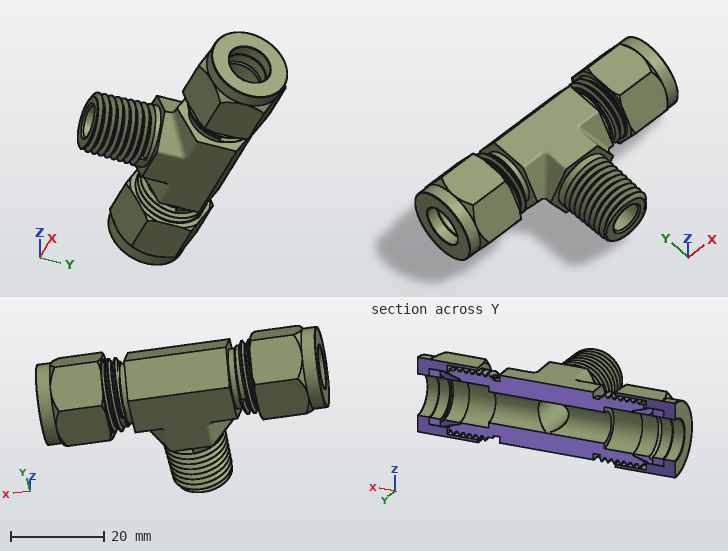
import cadquery as cq
import math


INCH = 25.4

run_half_length = 30.48
branch_length = 25.38
flow_bore_radius = 9 / 32 * INCH / 2
tube_bore_radius = 4.78

block_hex_flats = 5 / 8 * INCH
block_half_length = 7 / 16 * INCH
block_branch_reach = 11.2
crotch_fillet = 1.2
ledge_fillet = 0.8

thread_pitch = 1.5
flank_tan = math.tan(math.radians(30))
STRAIGHT = 360

neck_radius = 6.53
run_root_radius = 7.07
run_crest_radius = 5 / 8 * INCH / 2
run_thread_start = block_half_length + 1.4
run_core_chamfer = 0.3
run_crest_flat = 0.16
run_ridge_start = block_half_length + 1.92
run_ridge_end_margin = 1.0
root_overlap = 0.15

collar_radius = 0.54 * INCH / 2
collar_length = 1.9
taper_tan = 1 / 32
branch_groove_depth = 1.07
branch_crest_flat = 0.06
branch_groove_first = 1.93
branch_groove_runout = 0.25
groove_wall_offset = 0.03
groove_overcut = 0.4
branch_tip_chamfer = 0.48
branch_bore_chamfer = 0.4

nut_hex_flats = 11 / 16 * INCH
nut_length = 14.25
nut_collar_length = 3.05
nut_face_radius = 9.2
nut_edge_chamfer = 0.12
nut_thread_clearance = 0.05

back_ferrule_depth = 2.8
back_ferrule_chamfer = 0.12
front_ferrule_depth = 5.4
front_ferrule_rim = 1.0
front_ferrule_tip_depth = 10.0
ferrule_radius = 6.4
front_ferrule_tip_radius = 5.1
countersink_depth = 0.8
thread_bore_depth = 7.0
body_end_depth = 7.4
tube_stop_depth = 16.8

back_ferrule_x = run_half_length - back_ferrule_depth
front_ferrule_x = run_half_length - front_ferrule_depth
front_taper_x = front_ferrule_x - front_ferrule_rim
front_tip_x = run_half_length - front_ferrule_tip_depth
thread_bore_x = run_half_length - thread_bore_depth
body_end_x = run_half_length - body_end_depth
tube_stop_x = run_half_length - tube_stop_depth
nut_inner_x = run_half_length - nut_length
nut_collar_x = run_half_length - nut_collar_length

ferrule_taper = (ferrule_radius - front_ferrule_tip_radius) / (front_taper_x - front_tip_x)
mouth_radius = ferrule_radius - ferrule_taper * (front_taper_x - body_end_x)


def hex_diameter(flats):
    """Across-corners size of a hexagon from its size across flats."""
    return flats / math.cos(math.radians(30))


def turned(points):
    """Solid of revolution about the X axis from (x, radius) points."""
    return cq.Workplane("XY").polyline(points).close().revolve(360, (0, 0, 0), (1, 0, 0))


def helical(profile, height, radius, half_angle=STRAIGHT):
    """Right-handed sweep about +Z of a closed (radius, z) profile starting on the +X side."""
    helix = cq.Wire.makeHelix(thread_pitch, height, radius, angle=half_angle)
    path = cq.Workplane(obj=helix)
    return cq.Workplane("XZ").polyline(profile).close().sweep(path, isFrenet=True)


def both_ends(right_end):
    """The right-hand solid and its copy turned half a turn about Z."""
    return [right_end.rotate((0, 0, 0), (0, 0, 1), angle) for angle in (0, 180)]


def tee_block():
    """Crossed hexagonal bars, flats on top and bottom, blended where they meet."""
    hexagon = hex_diameter(block_hex_flats)
    flat_z = block_hex_flats / 2
    run_bar = (cq.Workplane("YZ").polygon(6, hexagon)
               .extrude(block_half_length, both=True))
    branch_bar = cq.Workplane("XZ").polygon(6, hexagon).extrude(block_branch_reach)
    block = run_bar.union(branch_bar)

    cover = 4 * block_half_length
    upper = block.intersect(cq.Workplane("XY").box(cover, cover, flat_z, centered=(True, True, False)))

    corner = hexagon / 2
    flat_end = corner / 2
    crotch_reach = (corner + flat_end) / 2
    for side in (-1, 1):
        middle = (side * crotch_reach, -crotch_reach, flat_z / 2)
        upper = upper.edges(cq.selectors.NearestToPointSelector(middle)).fillet(crotch_fillet)
    for side in (-1, 1):
        ledge = (side * flat_end, -block_branch_reach, flat_z)
        upper = upper.edges(cq.selectors.NearestToPointSelector(ledge)).fillet(ledge_fillet)
    return upper.union(upper.mirror("XY"))


def run_thread_end():
    """Neck, thread core and helical ridge of the +X end."""
    core = turned([
        (0, 0), (0, neck_radius), (run_thread_start, neck_radius),
        (run_thread_start, run_root_radius - run_core_chamfer),
        (run_thread_start + run_core_chamfer, run_root_radius),
        (body_end_x, run_root_radius), (body_end_x, 0),
    ])
    base_radius = run_root_radius - root_overlap
    half_crest = run_crest_flat / 2
    half_base = half_crest + (run_crest_radius - base_radius) * flank_tan
    profile = [
        (base_radius, -half_base), (run_crest_radius, -half_crest),
        (run_crest_radius, half_crest), (base_radius, half_base),
    ]
    ridge_length = body_end_x - run_ridge_end_margin - run_ridge_start
    ridge = (helical(profile, ridge_length, base_radius)
             .translate((0, 0, run_ridge_start))
             .rotate((0, 0, 0), (0, 1, 0), 90))
    return core.union(ridge)


def run_socket():
    """Ferrule seat, tube bore and flow bore of the +X end, as a cutter."""
    return turned([
        (0, 0), (0, flow_bore_radius), (tube_stop_x, flow_bore_radius),
        (tube_stop_x, tube_bore_radius), (front_tip_x, tube_bore_radius),
        (front_tip_x, front_ferrule_tip_radius), (body_end_x, mouth_radius), (body_end_x, 0),
    ])


def branch_stub():
    """Collar and tapered thread of the branch, built along +Z from the tip, then laid on -Y."""
    stub_length = branch_length - block_branch_reach
    cone_length = stub_length - collar_length
    tip_radius = collar_radius - cone_length * taper_tan
    stub = (cq.Workplane("XZ")
            .polyline([(0, 0), (tip_radius, 0), (collar_radius, cone_length),
                       (collar_radius, branch_length), (0, branch_length)])
            .close().revolve(360, (0, 0, 0), (0, 1, 0)))

    first_groove = stub_length - branch_groove_first
    whole_turns = math.ceil((first_groove + thread_pitch / 2) / thread_pitch)
    groove_start = first_groove - whole_turns * thread_pitch
    groove_height = (whole_turns + branch_groove_runout) * thread_pitch
    crest = tip_radius + groove_start * taper_tan
    root = crest - branch_groove_depth
    half_mouth = (thread_pitch - branch_crest_flat) / 2
    half_root = half_mouth - (branch_groove_depth + groove_wall_offset) * flank_tan
    wall = crest + groove_wall_offset
    outside = wall + groove_overcut
    profile = [
        (root, -half_root), (root, half_root), (wall, half_mouth),
        (outside, half_mouth), (outside, -half_mouth), (wall, -half_mouth),
    ]
    taper_angle = math.degrees(math.atan(taper_tan))
    groove = helical(profile, groove_height, crest, taper_angle).translate((0, 0, groove_start))

    chamfer_radius = tip_radius - branch_tip_chamfer
    bevel = (cq.Workplane("XZ")
             .polyline([(chamfer_radius, 0), (collar_radius, 0),
                        (collar_radius, collar_radius - chamfer_radius)])
             .close().revolve(360, (0, 0, 0), (0, 1, 0)))
    threaded = stub.cut(groove).cut(bevel)
    return threaded.rotate((0, 0, 0), (1, 0, 0), -90).translate((0, -branch_length, 0))


def branch_bore():
    """Flow bore of the branch with a chamfered mouth, as a cutter."""
    mouth = flow_bore_radius + branch_bore_chamfer
    return (cq.Workplane("XY")
            .polyline([(0, 0), (flow_bore_radius, 0),
                       (flow_bore_radius, branch_bore_chamfer - branch_length),
                       (mouth, -branch_length), (0, -branch_length)])
            .close().revolve(360, (0, 0, 0), (0, 1, 0)))


def make_body():
    """Tee block with two run ends and the branch, bored through."""
    body = tee_block().union(branch_stub())
    for end in both_ends(run_thread_end()):
        body = body.union(end)
    for socket in both_ends(run_socket()):
        body = body.cut(socket)
    return body.cut(branch_bore())


def make_nut():
    """Hexagon nut with a round outer collar and a stepped bore for ferrules and thread."""
    hexagon = hex_diameter(nut_hex_flats)
    corner = hexagon / 2
    collar = nut_hex_flats / 2
    bore = run_crest_radius + nut_thread_clearance
    bar = (cq.Workplane("YZ").polygon(6, hexagon)
           .extrude(nut_length).translate((nut_inner_x, 0, 0)))
    envelope = turned([
        (nut_inner_x, 0), (nut_inner_x, nut_face_radius),
        (nut_inner_x + (corner - nut_face_radius) * flank_tan, corner),
        (nut_collar_x - (corner - collar), corner), (nut_collar_x, collar),
        (run_half_length - nut_edge_chamfer, collar),
        (run_half_length, collar - nut_edge_chamfer), (run_half_length, 0),
    ])
    cavity = turned([
        (nut_inner_x, 0), (nut_inner_x, bore), (thread_bore_x, bore),
        (thread_bore_x, ferrule_radius), (back_ferrule_x, ferrule_radius),
        (back_ferrule_x, tube_bore_radius),
        (run_half_length - nut_edge_chamfer, tube_bore_radius),
        (run_half_length, tube_bore_radius + nut_edge_chamfer), (run_half_length, 0),
    ])
    return bar.intersect(envelope).cut(cavity)


def make_back_ferrule():
    """Plain ring, its bore chamfered at the outer face."""
    return turned([
        (front_ferrule_x, tube_bore_radius), (front_ferrule_x, ferrule_radius),
        (back_ferrule_x, ferrule_radius),
        (back_ferrule_x, tube_bore_radius + back_ferrule_chamfer),
        (back_ferrule_x - back_ferrule_chamfer, tube_bore_radius),
    ])


def make_front_ferrule():
    """Tapered ring with a 45 degree countersink in its back face."""
    return turned([
        (front_tip_x, tube_bore_radius), (front_tip_x, front_ferrule_tip_radius),
        (front_taper_x, ferrule_radius), (front_ferrule_x, ferrule_radius),
        (front_ferrule_x, tube_bore_radius + countersink_depth),
        (front_ferrule_x - countersink_depth, tube_bore_radius),
    ])


body = make_body()
nuts = both_ends(make_nut())
back_ferrules = both_ends(make_back_ferrule())
front_ferrules = both_ends(make_front_ferrule())

fittings = nuts + back_ferrules + front_ferrules
result = cq.Compound.makeCompound([body.val(), *[fitting.val() for fitting in fittings]])